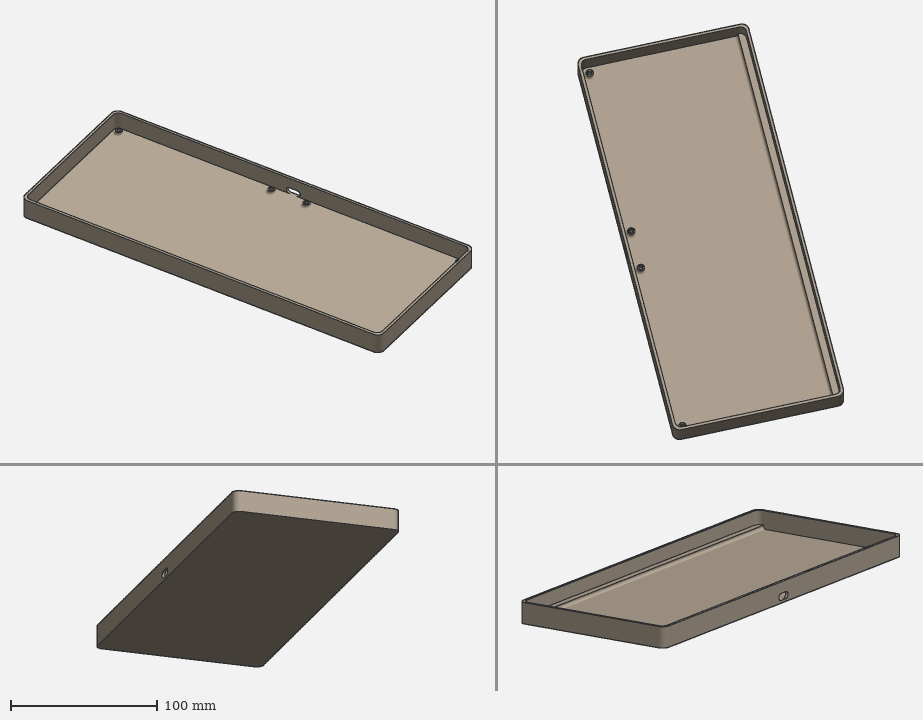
import cadquery as cq

length = 291.0
width = 120.0
height = 15.0
wall = 2.0
floor = 2.0
outer_radius = 5.0
inner_radius = 4.5

boss_diameter = 5.0
boss_hole_diameter = 3.0
boss_height = 3.0
boss_base_fillet = 2.0
boss_back_offset = 7.5
boss_outer_x = 138.0
boss_inner_x = 14.3

slot_length = 11.0
slot_height = 5.0
slot_bottom = floor

ledge_edge_offset = 7.0
ledge_height = boss_height
ledge_base_fillet = boss_base_fillet

inner_length = length - 2 * wall
inner_width = width - 2 * wall


def rounded_block(size_x, size_y, size_z, radius):
    """Block standing on the XY plane with rounded vertical edges."""
    block = cq.Workplane("XY").box(size_x, size_y, size_z, centered=(True, True, False))
    return block.edges("|Z").fillet(radius)


cavity = rounded_block(inner_length, inner_width, height, inner_radius).translate((0, 0, floor))
tray = rounded_block(length, width, height, outer_radius).cut(cavity)

front_y = -width / 2
ledge_y = front_y + ledge_edge_offset
ledge_arc_offset = ledge_base_fillet * (1 - 0.5 ** 0.5)
ledge = (
    cq.Workplane("YZ", origin=(-length / 2, 0, floor))
    .moveTo(front_y, 0)
    .lineTo(ledge_y + ledge_base_fillet, 0)
    .threePointArc((ledge_y + ledge_arc_offset, ledge_arc_offset), (ledge_y, ledge_base_fillet))
    .lineTo(ledge_y, ledge_height)
    .lineTo(front_y, ledge_height)
    .close()
    .extrude(length)
    .intersect(cavity)
)
tray = tray.union(ledge)


def make_boss():
    """Hollow boss with a flared base, revolved about the Z axis."""
    radius = boss_diameter / 2
    hole_radius = boss_hole_diameter / 2
    flare_radius = radius + boss_base_fillet
    arc_offset = boss_base_fillet * (1 - 0.5 ** 0.5)
    return (
        cq.Workplane("XZ")
        .moveTo(hole_radius, 0)
        .lineTo(flare_radius, 0)
        .threePointArc((radius + arc_offset, arc_offset), (radius, boss_base_fillet))
        .lineTo(radius, boss_height)
        .lineTo(hole_radius, boss_height)
        .close()
        .revolve(360, (0, 0, 0), (0, 1, 0))
    )


boss = make_boss()
boss_y = width / 2 - boss_back_offset
for boss_x in (-boss_outer_x, -boss_inner_x, boss_inner_x, boss_outer_x):
    tray = tray.union(boss.translate((boss_x, boss_y, floor)))

slot = (
    cq.Workplane("XZ", origin=(0, width / 2 + wall, slot_bottom + slot_height / 2))
    .slot2D(slot_length, slot_height)
    .extrude(3 * wall)
)
result = tray.cut(slot)